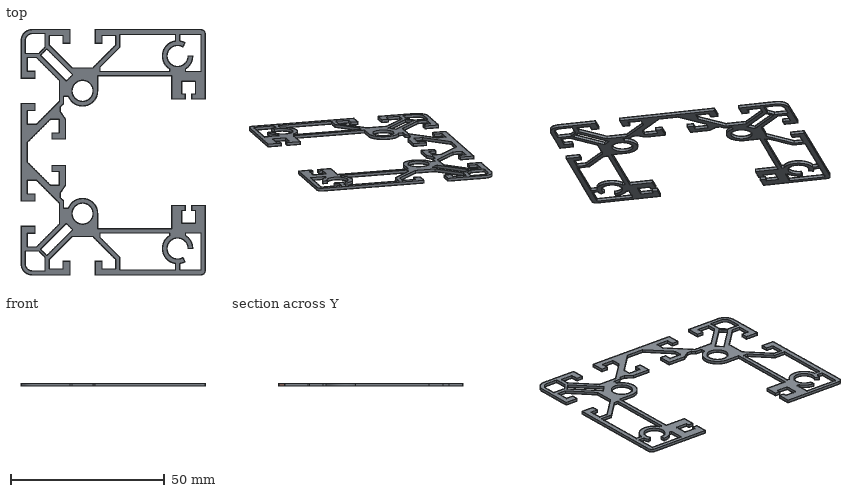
import cadquery as cq
import math

length = 60.0
width = 80.0
thickness = 1.0
half_width = width / 2
back_corner_radius = 3.6
front_corner_radius = 1.5

slot_offset = 20.0
slot_opening = 8.2
slot_lip_depth = 4.6
slot_lip_width = 2.3
slot_wall = 2.0
slot_inner_width = 21.6
slot_side_depth = 5.0
slot_floor_depth = 12.5
slot_floor_width = slot_inner_width - 2 * (slot_floor_depth - slot_side_depth)

boss_x = slot_offset
boss_y = half_width - slot_offset
boss_radius = 5.0
bore_diameter = 6.8

foot_x = 13.8
foot_top_y = boss_y - 1.8
foot_bottom_y = 15.8
neck_x = 12.8
neck_top_y = 14.9
neck_bottom_y = 13.2

hook_x = 14.5
hook_wall = 2.1
hook_shoulder_y = 10.7
hook_end_y = 4.2
hook_lip_width = 4.5
hook_lip_thickness = 2.1
hook_slot_x = hook_x - hook_wall
brace_x = 9.5
brace_drop = brace_x - slot_wall

corner_wall = 1.4
corner_chamber_end = 7.8
corner_chamber_radius = 2.3
corner_chamfer = 2.0
web_slot_start = 7.4
web_slot_end = 15.8
web_slot_width = 2.9
web_slot_angle = -45.0

arm_outer_wall = 1.7
arm_inner_y = half_width - 15.1
arm_wall = 1.4
chamber_x = 25.8
chamber_slope_x = 32.2
chamber_slope_y = half_width - 5.8

stub_width = 11.0
stub_end_y = half_width - 22.7
stub_slot_width = 4.4
stub_slot_opening = 2.0
stub_lip = 1.8
stub_slot_floor_y = half_width - 16.9

ring_x = 51.0
ring_y = half_width - 8.6
ring_outer_radius = 5.0
ring_inner_radius = bore_diameter / 2
ring_gap_angle = 60.0
ring_foot_width = 5.2


def plate(points):
    """Extrude a closed polygon to the plate thickness."""
    return cq.Workplane("XY").polyline(points).close().extrude(thickness)


def disc(x, y, radius):
    return cq.Workplane("XY").center(x, y).circle(radius).extrude(thickness)


def box(x_min, x_max, y_min, y_max):
    size = (x_max - x_min, y_max - y_min, thickness)
    return cq.Workplane("XY").box(*size, centered=False).translate((x_min, y_min, 0))


def half_silhouette():
    """Half of the profile above the mirror line, before slots and chambers are cut."""
    boss_left_x = boss_x - math.sqrt(boss_radius**2 - (boss_y - foot_top_y) ** 2)
    body = (
        cq.Workplane("XY")
        .moveTo(0, 0)
        .lineTo(0, half_width)
        .lineTo(length, half_width)
        .lineTo(length, stub_end_y)
        .lineTo(length - stub_width, stub_end_y)
        .lineTo(length - stub_width, arm_inner_y)
        .lineTo(boss_x + boss_radius, arm_inner_y)
        .lineTo(boss_x + boss_radius, boss_y)
        .threePointArc((boss_x, boss_y - boss_radius), (boss_left_x, foot_top_y))
        .lineTo(foot_x, foot_top_y)
        .lineTo(foot_x, foot_bottom_y)
        .lineTo(neck_x, neck_top_y)
        .lineTo(neck_x, neck_bottom_y)
        .lineTo(hook_x, hook_shoulder_y)
        .lineTo(hook_x, hook_end_y)
        .lineTo(hook_x - hook_lip_width, hook_end_y)
        .lineTo(hook_x - hook_lip_width, hook_end_y + hook_lip_thickness)
        .lineTo(hook_slot_x, hook_end_y + hook_lip_thickness)
        .lineTo(hook_slot_x, hook_shoulder_y)
        .lineTo(brace_x, hook_shoulder_y)
        .lineTo(slot_wall, hook_shoulder_y - brace_drop)
        .lineTo(slot_wall, 0)
        .close()
        .extrude(thickness)
    )
    back_corner = cq.selectors.NearestToPointSelector((0, half_width, thickness / 2))
    body = body.edges(back_corner).fillet(back_corner_radius)
    return body.edges("|Z and >X and >Y").fillet(front_corner_radius)


def t_slot():
    """T-slot void opening toward +Y, with its mouth centred on the origin."""
    lip_outer = slot_opening / 2 + slot_lip_width
    right_side = [
        (slot_opening / 2, 0),
        (slot_opening / 2, -slot_lip_depth),
        (lip_outer, -slot_lip_depth),
        (lip_outer, -slot_wall),
        (slot_inner_width / 2, -slot_wall),
        (slot_inner_width / 2, -slot_side_depth),
        (slot_floor_width / 2, -slot_floor_depth),
    ]
    left_side = [(-x, y) for x, y in reversed(right_side)]
    return plate(right_side + left_side)


def corner_chamber():
    top = half_width - corner_wall
    bottom = half_width - corner_chamber_end
    chamber = box(corner_wall, corner_chamber_end, bottom, top)
    chamber = chamber.edges("|Z and <X and >Y").fillet(corner_chamber_radius)
    return chamber.edges("|Z and >X and <Y").chamfer(corner_chamfer)


def web_slot():
    """Slot along the 45 degree line from the outer corner to the boss."""
    slot_length = (web_slot_end - web_slot_start) * math.sqrt(2)
    middle = (web_slot_start + web_slot_end) / 2
    slot = cq.Workplane("XY").rect(slot_length, web_slot_width).extrude(thickness)
    return slot.rotate((0, 0, 0), (0, 0, 1), web_slot_angle).translate((middle, half_width - middle, 0))


def screw_ring():
    """Open ring with its foot and the web that ties it to the outer wall."""
    chamber_floor_y = arm_inner_y + arm_wall
    ring = disc(ring_x, ring_y, ring_outer_radius)
    foot_half = ring_foot_width / 2
    foot = box(ring_x - foot_half, ring_x + foot_half, chamber_floor_y, ring_y)
    web = box(ring_x - arm_wall / 2, ring_x + arm_wall / 2, ring_y, half_width - arm_outer_wall)
    ring = ring.union(foot).union(web)
    gap_reach = 2 * ring_outer_radius
    gap_angle = math.radians(ring_gap_angle)
    gap = plate(
        [
            (0, 0),
            (gap_reach, 0),
            (gap_reach * math.cos(gap_angle), gap_reach * math.sin(gap_angle)),
        ]
    ).translate((ring_x, ring_y, 0))
    return ring.cut(disc(ring_x, ring_y, ring_inner_radius)).cut(gap)


def arm_chamber():
    """Void inside the arm, leaving the screw ring standing."""
    floor_y = arm_inner_y + arm_wall
    top_y = half_width - arm_outer_wall
    end_x = length - arm_wall
    void = plate(
        [
            (chamber_x, floor_y),
            (end_x, floor_y),
            (end_x, top_y),
            (chamber_slope_x, top_y),
            (chamber_slope_x, chamber_slope_y),
            (chamber_x, chamber_slope_y - (chamber_slope_x - chamber_x)),
        ]
    )
    return void.cut(screw_ring())


def stub_slot():
    centre_x = length - stub_width / 2
    lip_y = stub_end_y + stub_lip
    pocket = box(centre_x - stub_slot_width / 2, centre_x + stub_slot_width / 2, lip_y, stub_slot_floor_y)
    mouth = box(centre_x - stub_slot_opening / 2, centre_x + stub_slot_opening / 2, stub_end_y, lip_y)
    return pocket.union(mouth)


half = half_silhouette()
top_slot = t_slot().translate((slot_offset, half_width, 0))
back_slot = t_slot().rotate((0, 0, 0), (0, 0, 1), 90).translate((0, boss_y, 0))
bore = disc(boss_x, boss_y, bore_diameter / 2)
for void in (top_slot, back_slot, bore, corner_chamber(), web_slot(), arm_chamber(), stub_slot()):
    half = half.cut(void)

result = half.union(half.mirror("XZ"))